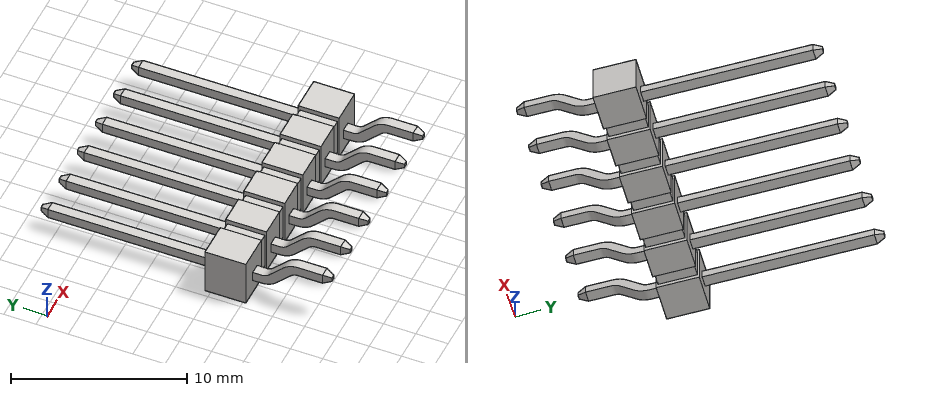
import cadquery as cq
import math

pin_count = 6
body_length = 15.24
body_depth = 2.55
body_height = 3.05
pitch = body_length / pin_count

neck_width = 0.74
neck_inset_y = 0.1
neck_inset_z = 0.3

overall_depth = 18.03
pin_size = 0.63
tip_length = 0.5
tip_size = 0.27
tail_reach = 4.83
straight_reach = overall_depth - body_depth - tail_reach
straight_axis_z = -0.25
tail_axis_z = body_height / 2 - pin_size / 2

bend_start = 0.55
bend_angle = math.radians(45)
bend_radius = 1.5 * pin_size


def make_body():
    """Bar with a groove all round between each pair of neighbouring pins."""
    body = cq.Workplane("XY").box(body_length, body_depth, body_height)
    core = cq.Workplane("XY").box(
        body_length, body_depth - 2 * neck_inset_y, body_height - 2 * neck_inset_z
    )
    for gap in range(1, pin_count):
        gap_x = gap * pitch - body_length / 2
        slab = cq.Workplane("XY").box(neck_width, body_depth, body_height)
        groove = slab.translate((gap_x, 0, 0)).cut(core)
        body = body.cut(groove)
    return body


def make_tip(base_y, axis_z, direction):
    """Tapered square point growing along +Y (direction 1) or -Y (direction -1)."""
    taper = math.degrees(math.atan((pin_size - tip_size) / 2 / tip_length))
    plane = cq.Plane(origin=(0, base_y, axis_z), xDir=(1, 0, 0), normal=(0, direction, 0))
    return cq.Workplane(plane).rect(pin_size, pin_size).extrude(tip_length, taper=taper)


def make_pin():
    """One pin at X = 0, swept from the straight end to the cranked tail."""
    straight_end_y = body_depth / 2 + straight_reach - tip_length
    tail_end_y = -body_depth / 2 - tail_reach + tip_length

    bend_y = bend_radius * math.sin(bend_angle)
    bend_z = bend_radius * (1 - math.cos(bend_angle))
    half_y = bend_radius * math.sin(bend_angle / 2)
    half_z = bend_radius * (1 - math.cos(bend_angle / 2))
    slope_z = tail_axis_z - straight_axis_z - 2 * bend_z
    slope_y = slope_z / math.tan(bend_angle)

    first_bend_y = -body_depth / 2 - bend_start
    slope_start_y = first_bend_y - bend_y
    slope_end_y = slope_start_y - slope_y
    second_bend_end_y = slope_end_y - bend_y

    path = (
        cq.Workplane("YZ")
        .moveTo(straight_end_y, straight_axis_z)
        .lineTo(first_bend_y, straight_axis_z)
        .threePointArc(
            (first_bend_y - half_y, straight_axis_z + half_z),
            (slope_start_y, straight_axis_z + bend_z),
        )
        .lineTo(slope_end_y, tail_axis_z - bend_z)
        .threePointArc(
            (second_bend_end_y + half_y, tail_axis_z - half_z),
            (second_bend_end_y, tail_axis_z),
        )
        .lineTo(tail_end_y, tail_axis_z)
    )
    section_plane = cq.Plane(
        origin=(0, straight_end_y, straight_axis_z), xDir=(1, 0, 0), normal=(0, -1, 0)
    )
    shaft = cq.Workplane(section_plane).rect(pin_size, pin_size).sweep(path)
    straight_tip = make_tip(straight_end_y, straight_axis_z, 1)
    tail_tip = make_tip(tail_end_y, tail_axis_z, -1)
    return shaft.union(straight_tip).union(tail_tip)


result = make_body()
pin = make_pin()
for index in range(pin_count):
    pin_x = (index - (pin_count - 1) / 2) * pitch
    result = result.union(pin.translate((pin_x, 0, 0)))